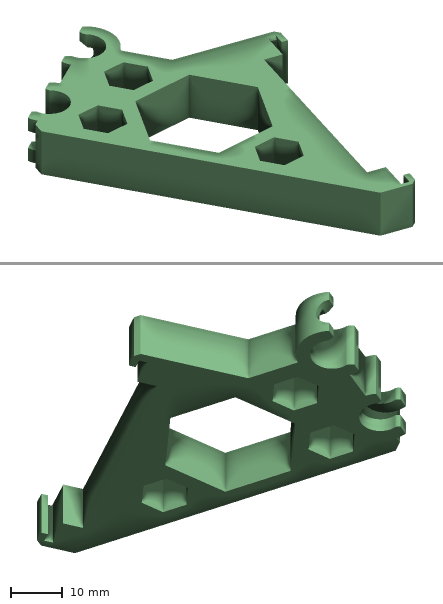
import cadquery as cq
import math

LENGTH = 78.2
WIDTH = 47.5
THICKNESS = 10.0
MID_HEIGHT = THICKNESS / 2
BODY_LEFT = 2.1
CORNER_CHAMFER = 1.9
LEDGE_Y = 31.8

EDGE_MID_X = 52.85
EDGE_MID_Y = 21.7
RECESS_HALF = 22.2
SEAT_OUT = 4.1
LIP_INNER_OUT = 5.9
LIP_OUTER_OUT = 7.2
LIP_TIP = 26.2
SLOT_END = 28.2
UPPER_SIDE = 30.2
LOWER_SIDE = 29.8
BEVEL_WIDTH = 0.6
BEVEL_DEPTH = 0.6

SMALL_HEX = 10.0
LARGE_HEX = 28.1
HEX_LEFT_X = 14.0
HEX_RIGHT_X = 50.05
HEX_LOW_Y = 7.75
HEX_HIGH_Y = 23.7

CLIP_WALL = 2.8
UPPER_CLIP = {"x": 2.6, "y": 31.05, "bore": 4.2, "gap": 4.6, "flare": 1.4}
LOWER_CLIP = {"x": 2.3, "y": 10.25, "bore": 4.15, "gap": 4.3, "flare": 0.9}
GROOVE_RADIUS = 4.6
GROOVE_HEIGHT = 4.0
UPPER_GROOVE_WALL = 1.4
TIP_SCOOP_HEIGHT = 5.9
TIP_SCOOP_DEPTH = 2.6

SQRT2 = math.sqrt(2)


def edge_point(along, out):
    """Point given by its distances along and out from the long edge's middle."""
    return (EDGE_MID_X + (along + out) / SQRT2, EDGE_MID_Y + (out - along) / SQRT2)


def hook(end):
    """Outline of one hook from the recessed edge outward; end is +1 lower, -1 upper."""
    steps = [
        (RECESS_HALF, 0),
        (RECESS_HALF, SEAT_OUT),
        (SLOT_END, SEAT_OUT),
        (SLOT_END, LIP_INNER_OUT),
        (LIP_TIP, LIP_INNER_OUT),
        (LIP_TIP, LIP_OUTER_OUT),
    ]
    return [edge_point(end * along, out) for along, out in steps]


def make_plate():
    upper_diff = EDGE_MID_X - EDGE_MID_Y - UPPER_SIDE * SQRT2
    lower_diff = EDGE_MID_X - EDGE_MID_Y + LOWER_SIDE * SQRT2
    lip_sum = EDGE_MID_X + EDGE_MID_Y + LIP_OUTER_OUT * SQRT2
    outline = [
        (BODY_LEFT, CORNER_CHAMFER),
        (BODY_LEFT, LEDGE_Y),
        (LEDGE_Y + upper_diff, LEDGE_Y),
        (WIDTH + upper_diff, WIDTH),
        (lip_sum - WIDTH, WIDTH),
        *reversed(hook(-1)),
        *hook(1),
        (LENGTH, lip_sum - LENGTH),
        (LENGTH, LENGTH - lower_diff),
        (lower_diff, 0),
        (BODY_LEFT + CORNER_CHAMFER, 0),
    ]
    return cq.Workplane("XY").polyline(outline).close().extrude(THICKNESS)


def slot_bevel(end):
    """Wedge that bevels the top of a hook slot's end wall."""
    origin = edge_point(end * SLOT_END, SEAT_OUT)
    plane = cq.Plane(origin=(*origin, THICKNESS), xDir=(1, -1, 0), normal=(1, 1, 0))
    wedge = cq.Workplane(plane).polyline([(0, 0), (end * BEVEL_WIDTH, 0), (0, BEVEL_DEPTH)])
    return wedge.close().extrude(LIP_INNER_OUT - SEAT_OUT)


def hexagon(x, y, across_corners):
    return cq.Workplane("XY").center(x, y).polygon(6, across_corners).extrude(THICKNESS)


def clip_ring(clip):
    """Solid disc of a clip, cut off flat at the tips."""
    outer = clip["bore"] + CLIP_WALL
    disc = cq.Workplane("XY").center(clip["x"], clip["y"]).circle(outer).extrude(THICKNESS)
    keep = cq.Workplane("XY").box(LENGTH, LENGTH, THICKNESS, centered=(False, True, False))
    return disc.intersect(keep.translate((0, clip["y"], 0)))


def clip_bore(clip):
    """Clip opening: a round bore whose mouth flares out at the rounded tips."""
    throat = math.sqrt(clip["bore"] ** 2 - (clip["x"] - clip["flare"]) ** 2)
    bulge_x = clip["flare"] / 2
    bulge_y = throat + (clip["gap"] - throat) / 4
    mouth = (
        cq.Workplane("XY").center(0, clip["y"])
        .moveTo(0, clip["gap"])
        .threePointArc((bulge_x, bulge_y), (clip["flare"], throat))
        .threePointArc((clip["x"] + clip["bore"], 0), (clip["flare"], -throat))
        .threePointArc((bulge_x, -bulge_y), (0, -clip["gap"]))
        .close()
    )
    return mouth.extrude(THICKNESS)


def groove(x, y):
    """Mid-height groove with a round end, open toward the clip tips."""
    bottom = cq.Workplane("XY").workplane(offset=MID_HEIGHT - GROOVE_HEIGHT / 2)
    return (
        bottom.center(0, y)
        .moveTo(0, GROOVE_RADIUS)
        .lineTo(x, GROOVE_RADIUS)
        .threePointArc((x + GROOVE_RADIUS, 0), (x, -GROOVE_RADIUS))
        .lineTo(0, -GROOVE_RADIUS)
        .close()
        .extrude(GROOVE_HEIGHT)
    )


def tip_scoop(clip):
    """Shallow scoop, running along Y, across the end of the clip's upper arm."""
    half = TIP_SCOOP_HEIGHT / 2
    profile = (
        cq.Workplane("XZ", origin=(0, clip["y"], MID_HEIGHT))
        .moveTo(0, -half)
        .threePointArc((TIP_SCOOP_DEPTH, 0), (0, half))
        .close()
    )
    return profile.extrude(-(clip["bore"] + CLIP_WALL))


plate = make_plate()
for clip in (UPPER_CLIP, LOWER_CLIP):
    plate = plate.union(clip_ring(clip))
for clip in (UPPER_CLIP, LOWER_CLIP):
    plate = plate.cut(clip_bore(clip))

upper_clip_top = UPPER_CLIP["y"] + UPPER_CLIP["bore"] + CLIP_WALL
lower_clip_bottom = LOWER_CLIP["y"] - LOWER_CLIP["bore"] - CLIP_WALL
upper_groove_y = upper_clip_top - UPPER_GROOVE_WALL - GROOVE_RADIUS
lower_groove_y = lower_clip_bottom + GROOVE_RADIUS
plate = plate.cut(groove(UPPER_CLIP["x"], upper_groove_y))
plate = plate.cut(groove(LOWER_CLIP["x"], lower_groove_y))
plate = plate.cut(tip_scoop(UPPER_CLIP))

for x, y in [(HEX_LEFT_X, HEX_LOW_Y), (HEX_LEFT_X, HEX_HIGH_Y), (HEX_RIGHT_X, HEX_LOW_Y)]:
    plate = plate.cut(hexagon(x, y, SMALL_HEX))
large_x = (HEX_LEFT_X + HEX_RIGHT_X) / 2
large_y = (HEX_LOW_Y + HEX_HIGH_Y) / 2
plate = plate.cut(hexagon(large_x, large_y, LARGE_HEX))

for end in (-1, 1):
    plate = plate.cut(slot_bevel(end))

result = plate